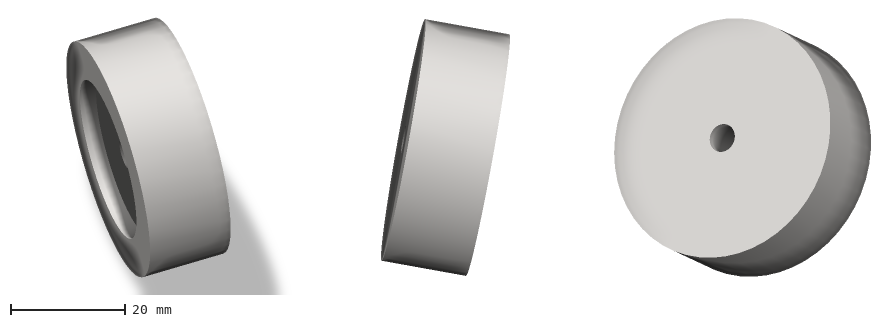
import cadquery as cq

outer_diameter = 43.0
thickness = 15.0
recess_diameter = 29.0
recess_depth = 3.0
bore_diameter = 5.0


def disc(diameter, length, front_y):
    """Solid disc on the Y axis, running from front_y toward +Y."""
    plane = cq.Workplane("XZ", origin=(0, front_y, 0))
    return plane.circle(diameter / 2).extrude(-length)


front_face_y = -thickness / 2

body = disc(outer_diameter, thickness, front_face_y)
recess = disc(recess_diameter, recess_depth, front_face_y)
bore = disc(bore_diameter, thickness, front_face_y)

result = body.cut(recess).cut(bore)